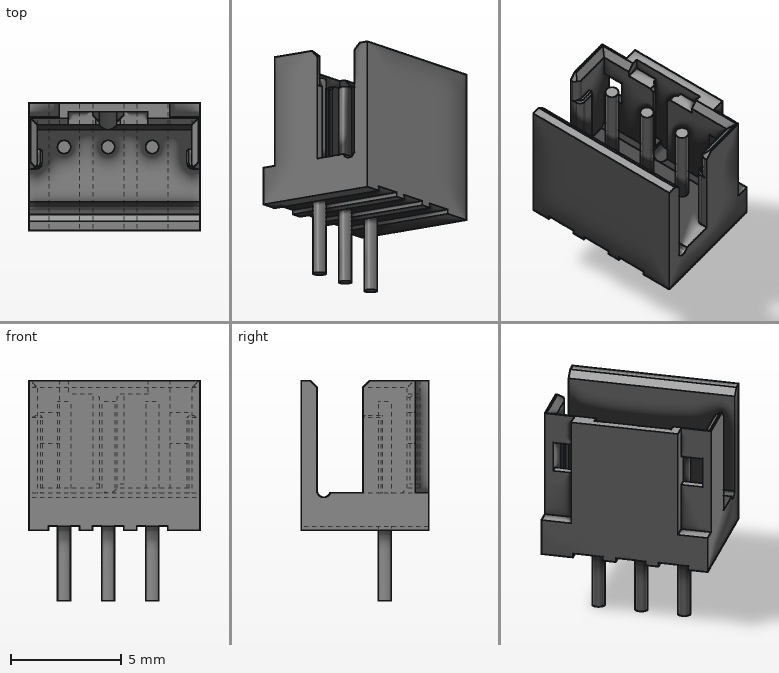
import cadquery as cq
import math


width = 7.78
depth = 5.8
height = 6.8
floor_z = 1.72
front_wall = 0.73
back_wall = 1.0
side_wall = 0.39
side_wall_length = 3.0
lead_in = 0.31
side_end_radius = 0.28
cavity_back_y = depth - back_wall
side_end_y = depth - side_wall_length
foot_slope_leg = 0.21
groove_radius = 0.3
groove_axis_rise = 0.09

pin_count = 3
pin_pitch = 2.0
pin_diameter = 0.6
pin_y = 3.8
pin_top_z = 5.87
pin_tail = 3.2
row_center_x = 3.6
foot_slot_width = 1.4
foot_slot_depth = 0.2

notch_width = 1.39
notch_depth = 0.63
window_bottom_z = 3.95
window_top_z = 5.37

recess_width = 3.6
recess_floor_z = 6.2
recess_back_y = depth - 0.41
slot_back_half = 0.7
slot_mouth_half = 0.4
slot_straight = 0.15
slot_floor_z = 2.12
trough_depth = 0.21
slot_edge_chamfer = 0.15

rib_thickness = 0.21
rib_length = 0.89
rib_top_z = 5.24
rib_top_chamfer = 0.09
rib_back_chamfer = 0.07


def block(x0, x1, y0, y1, z0, z1):
    """Box given by its lower and upper limits."""
    return cq.Workplane("XY").box(x1 - x0, y1 - y0, z1 - z0, centered=False).translate((x0, y0, z0))


def mirrored(shape):
    """Copy of a shape on the opposite side of the housing."""
    return shape.mirror("YZ", (width / 2, 0, 0))


def prism_along_x(points):
    """Full-width prism with a YZ profile."""
    return cq.Workplane("YZ").polyline(points).close().extrude(width)


def make_housing():
    body = block(0, width, 0, depth, 0, height)
    body = body.cut(block(0, width, front_wall, side_end_y, floor_z, height))

    inside = block(side_wall, width - side_wall, front_wall, cavity_back_y, floor_z, height)
    body = body.cut(inside)
    for x in (side_wall, width - side_wall):
        end_edge = cq.selectors.BoxSelector(
            (x - 0.1, side_end_y - 0.1, floor_z), (x + 0.1, side_end_y + 0.1, height)
        )
        body = body.edges("|Z").edges(end_edge).fillet(side_end_radius)

    mouth_front = front_wall - lead_in
    mouth_back = cavity_back_y + lead_in
    mouth = (
        cq.Workplane("XY", origin=(width / 2, (mouth_front + mouth_back) / 2, height))
        .rect(width - 2 * (side_wall - lead_in), mouth_back - mouth_front)
        .extrude(-lead_in, taper=45)
    )
    body = body.cut(mouth)

    rim = prism_along_x([
        (mouth_front, height),
        (front_wall, height - lead_in),
        (side_end_y, height - lead_in),
        (side_end_y + lead_in, height),
    ])
    body = body.cut(rim)

    foot = prism_along_x([
        (cavity_back_y, floor_z),
        (cavity_back_y - foot_slope_leg, floor_z),
        (cavity_back_y, floor_z + foot_slope_leg),
    ])
    body = body.union(foot.intersect(inside))

    groove = (
        cq.Workplane("YZ")
        .center(front_wall + groove_radius, floor_z + groove_axis_rise)
        .circle(groove_radius)
        .extrude(width)
    )
    return body.cut(groove)


def cut_corner_notches(body):
    notch = block(0, notch_width, depth - notch_depth, depth, floor_z, height)
    window = block(side_wall, notch_width, cavity_back_y, depth, window_bottom_z, window_top_z)
    opening = notch.union(window)
    return body.cut(opening).cut(mirrored(opening))


def cut_back_recess(body):
    half = recess_width / 2
    recess = block(
        row_center_x - half, row_center_x + half, cavity_back_y, recess_back_y, recess_floor_z, height
    )

    wide_end_y = recess_back_y - slot_straight
    narrow_y = wide_end_y - (slot_back_half - slot_mouth_half)
    slot_front_y = cavity_back_y - foot_slope_leg
    slot = (
        cq.Workplane("XY", origin=(row_center_x, 0, slot_floor_z))
        .polyline([
            (-slot_back_half, recess_back_y),
            (-slot_back_half, wide_end_y),
            (-slot_mouth_half, narrow_y),
            (-slot_mouth_half, slot_front_y),
            (slot_mouth_half, slot_front_y),
            (slot_mouth_half, narrow_y),
            (slot_back_half, wide_end_y),
            (slot_back_half, recess_back_y),
        ])
        .close()
        .extrude(height - slot_floor_z)
    )

    trough_edge_z = floor_z + trough_depth
    trough = (
        cq.Workplane("XZ", origin=(row_center_x, recess_back_y, 0))
        .moveTo(-slot_mouth_half, slot_floor_z)
        .lineTo(-slot_mouth_half, trough_edge_z)
        .threePointArc((0, floor_z), (slot_mouth_half, trough_edge_z))
        .lineTo(slot_mouth_half, slot_floor_z)
        .close()
        .extrude(recess_back_y - slot_front_y)
    )

    rim_half = slot_mouth_half + slot_edge_chamfer
    edge_chamfer = (
        cq.Workplane("XZ", origin=(row_center_x, recess_back_y, recess_floor_z))
        .polyline([
            (-rim_half, 0),
            (-slot_mouth_half, -slot_edge_chamfer),
            (slot_mouth_half, -slot_edge_chamfer),
            (rim_half, 0),
        ])
        .close()
        .extrude(back_wall)
    )
    return body.cut(recess).cut(slot).cut(trough).cut(edge_chamfer)


def add_ribs(body):
    wall_flat_end_x = side_wall - side_end_radius
    rib_face_x = side_wall + rib_thickness
    arc_center_x = rib_face_x - side_end_radius
    arc_center_y = side_end_y + side_end_radius
    rib_back_y = side_end_y + rib_length
    diagonal = side_end_radius * math.sqrt(0.5)
    rib = (
        cq.Workplane("XY", origin=(0, 0, floor_z))
        .moveTo(wall_flat_end_x, side_end_y)
        .lineTo(arc_center_x, side_end_y)
        .threePointArc(
            (arc_center_x + diagonal, arc_center_y - diagonal),
            (rib_face_x, arc_center_y),
        )
        .lineTo(rib_face_x, rib_back_y - rib_back_chamfer)
        .lineTo(rib_face_x - rib_back_chamfer, rib_back_y)
        .lineTo(wall_flat_end_x, rib_back_y)
        .close()
        .extrude(rib_top_z - floor_z)
    )
    inner_top_edges = cq.selectors.BoxSelector(
        (arc_center_x, side_end_y, rib_top_z - 0.1),
        (rib_face_x + 0.1, rib_back_y - rib_back_chamfer, rib_top_z + 0.1),
    )
    rib = rib.faces(">Z").edges(inner_top_edges).chamfer(rib_top_chamfer)
    return body.union(rib).union(mirrored(rib))


def add_pins(body):
    for i in range(pin_count):
        x = row_center_x + (i - (pin_count - 1) / 2) * pin_pitch
        half_slot = foot_slot_width / 2
        body = body.cut(block(x - half_slot, x + half_slot, 0, depth, 0, foot_slot_depth))
        pin = (
            cq.Workplane("XY", origin=(x, pin_y, -pin_tail))
            .circle(pin_diameter / 2)
            .extrude(pin_tail + pin_top_z)
        )
        body = body.union(pin)
    return body


housing = make_housing()
housing = cut_corner_notches(housing)
housing = cut_back_recess(housing)
housing = add_ribs(housing)
result = add_pins(housing)